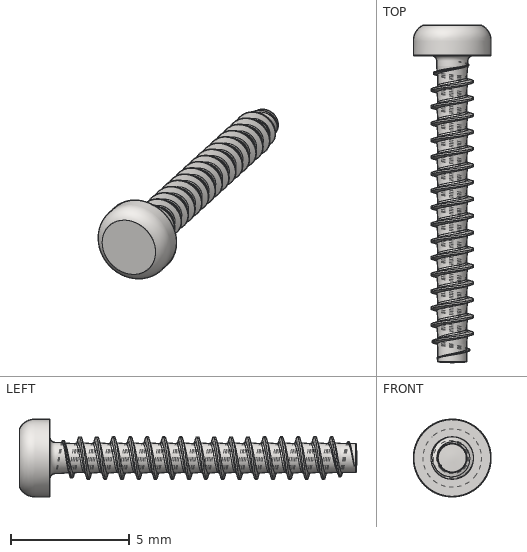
import cadquery as cq
import math


total_length = 14.3
head_diameter = 3.3
head_height = 1.3
dome_radius = 0.73
dome_height = 0.66
rim_chamfer = 0.03

shank_diameter = 1.33
shank_length = 0.43
neck_fillet = 0.21
core_diameter = 1.25
core_taper_length = 0.43
tip_diameter = 1.19
tip_chamfer_length = 0.03
tip_cone_height = 0.03

major_diameter = 1.8
thread_start = 1.09
full_thread_length = 10.84
full_thread_turns = 15.25
run_in_turns = 1.4
run_out_turns = 1.35
crest_width = 0.07
flank_width = 0.2
foot_height = 0.03
head_side_reach = 0.2
tip_side_reach = 0.46
foot_sink = 0.007
base_depth = 0.07
fade_scale = 0.2

head_radius = head_diameter / 2
shank_radius = shank_diameter / 2
core_radius = core_diameter / 2
major_radius = major_diameter / 2
shaft_length = total_length - head_height
pitch = full_thread_length / full_thread_turns


def make_body():
    """Head, neck fillet, shank, core and tip as one revolved outline."""
    dome_base = head_height - dome_height
    top_radius = head_radius - dome_radius + math.sqrt(dome_radius**2 - dome_height**2)
    half_angle = math.asin(dome_height / dome_radius) / 2
    dome_middle = (
        head_radius - dome_radius + dome_radius * math.cos(half_angle),
        dome_base + dome_radius * math.sin(half_angle),
    )
    fillet_reach = neck_fillet * (1 - math.sqrt(0.5))
    tip_edge = tip_cone_height - shaft_length
    outline = (
        cq.Workplane("XY")
        .moveTo(0, head_height)
        .lineTo(top_radius, head_height)
        .threePointArc(dome_middle, (head_radius, dome_base))
        .lineTo(head_radius, rim_chamfer)
        .lineTo(head_radius - rim_chamfer, 0)
        .lineTo(shank_radius + neck_fillet, 0)
        .threePointArc((shank_radius + fillet_reach, -fillet_reach), (shank_radius, -neck_fillet))
        .lineTo(shank_radius, -shank_length)
        .lineTo(core_radius, -shank_length - core_taper_length)
        .lineTo(core_radius, tip_edge + tip_chamfer_length)
        .lineTo(tip_diameter / 2, tip_edge)
        .lineTo(0, -shaft_length)
        .close()
    )
    return outline.revolve(360, (0, 0, 0), (0, 1, 0)).val()


def thread_profile(scale):
    """Corners of the thread section as (radius, offset towards the tip), shrunk towards its base."""
    base_radius = core_radius - base_depth
    foot_end_radius = core_radius - foot_sink
    foot_radius = core_radius + foot_height
    corners = [
        (base_radius, -head_side_reach),
        (foot_end_radius, -head_side_reach),
        (foot_radius, -flank_width / 2),
        (major_radius, -crest_width / 2),
        (major_radius, crest_width / 2),
        (foot_radius, flank_width / 2),
        (foot_end_radius, tip_side_reach),
        (base_radius, tip_side_reach),
    ]
    return [(base_radius + scale * (radius - base_radius), scale * offset) for radius, offset in corners]


def helix_edge(start, end, turns):
    """Right-handed helix about Z from one (radius, height) to another, starting at angle zero."""
    start_radius, start_height = start
    end_radius, end_height = end
    growth = end_radius - start_radius
    rise = end_height - start_height
    if math.isclose(start_radius, end_radius):
        helix = cq.Wire.makeHelix(rise / turns, rise, start_radius)
    else:
        slant = math.hypot(growth, rise)
        cone_angle = math.degrees(math.atan2(growth, rise))
        helix = cq.Wire.makeHelix(slant / turns, slant, start_radius, angle=cone_angle)
    return helix.Edges()[0].translate(cq.Vector(0, 0, start_height))


def thread_section(start_turn, turns, start_scale, end_scale):
    """Side faces of a stretch of thread about Z; start_turn counts from the start of the full thread."""
    rise = turns * pitch
    starts = thread_profile(start_scale)
    ends = [(radius, offset + rise) for radius, offset in thread_profile(end_scale)]
    edges = [helix_edge(start, end, turns) for start, end in zip(starts, ends)]
    faces = []
    for index, edge in enumerate(edges):
        face = cq.Face.makeRuledSurface(edges[index - 1], edge)
        face = face.rotate(cq.Vector(0, 0, 0), cq.Vector(0, 0, 1), 360 * start_turn)
        faces.append(face.translate(cq.Vector(0, 0, start_turn * pitch)))
    return faces


def thread_cap(turn, scale):
    """Flat face closing the thread about Z at the given turn."""
    points = [cq.Vector(radius, 0, offset) for radius, offset in thread_profile(scale)]
    cap = cq.Face.makeFromWires(cq.Wire.makePolygon(points, close=True))
    cap = cap.rotate(cq.Vector(0, 0, 0), cq.Vector(0, 0, 1), 360 * turn)
    return cap.translate(cq.Vector(0, 0, turn * pitch))


def make_thread():
    """Full thread with a growing run-in below the head and a fading run-out at the tip."""
    end_turn = full_thread_turns + run_out_turns
    faces = thread_section(-run_in_turns, run_in_turns, fade_scale, 1)
    faces += thread_section(0, full_thread_turns, 1, 1)
    faces += thread_section(full_thread_turns, run_out_turns, 1, fade_scale)
    faces += [thread_cap(-run_in_turns, fade_scale), thread_cap(end_turn, fade_scale)]
    thread = cq.Solid.makeSolid(cq.Shell.makeShell(faces))
    thread = thread.rotate(cq.Vector(0, 0, 0), cq.Vector(1, 0, 0), 90)
    return thread.translate(cq.Vector(0, -thread_start, 0))


screw = make_body().fuse(make_thread())
result = cq.Workplane("XY").newObject([screw.Solids()[0]])